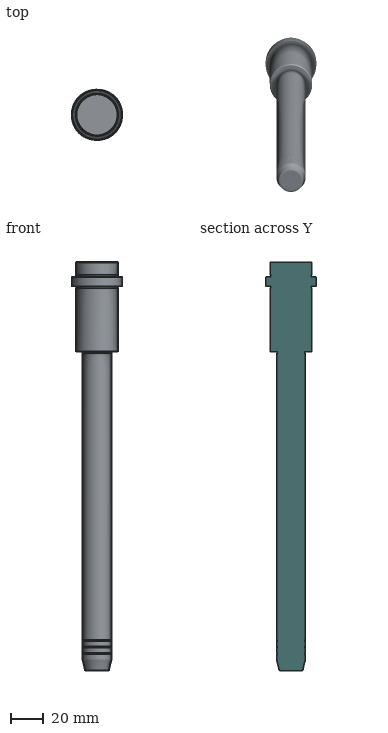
import cadquery as cq

total_length = 250.0
pin_radius = 9.0
head_radius = 13.0
flange_radius = 15.5

head_length = 55.0
flange_top_offset = 9.0
flange_thickness = 6.0
edge_chamfer = 0.5

tip_length = 7.0
tip_end_radius = 6.6
tip_edge_height = 0.3
tip_edge_width = 0.8
tip_hollow = 0.1

groove_radius = 0.5

groove_count = 3
lowest_groove_z = 10.5
groove_pitch = 4.0

head_bottom_z = total_length - head_length
flange_top_z = total_length - flange_top_offset
flange_bottom_z = flange_top_z - flange_thickness


def cylinder(radius, bottom_z, top_z):
    """Solid cylinder on the Z axis between two heights."""
    return cq.Workplane("XY").workplane(offset=bottom_z).circle(radius).extrude(top_z - bottom_z)


def make_pin():
    """Long pin whose lower end narrows along a slightly hollow arc to a chamfered end face."""
    shoulder_radius = tip_end_radius + tip_edge_width
    arc_mid_radius = (pin_radius + shoulder_radius) / 2 - tip_hollow
    arc_mid_z = (tip_length + tip_edge_height) / 2
    return (
        cq.Workplane("XZ")
        .moveTo(0, 0)
        .lineTo(tip_end_radius, 0)
        .lineTo(shoulder_radius, tip_edge_height)
        .threePointArc((arc_mid_radius, arc_mid_z), (pin_radius, tip_length))
        .lineTo(pin_radius, head_bottom_z)
        .lineTo(0, head_bottom_z)
        .close()
        .revolve(360, (0, 0), (0, 1))
    )


def make_head():
    """Plain head with chamfered ends."""
    return cylinder(head_radius, head_bottom_z, total_length).edges().chamfer(edge_chamfer)


def make_flange():
    """Locating flange with a chamfered upper rim."""
    return cylinder(flange_radius, flange_bottom_z, flange_top_z).edges(">Z").chamfer(edge_chamfer)


def make_groove_ring(surface_radius, center_z):
    """Ring of round section that cuts a half-round groove into a cylindrical surface."""
    return (
        cq.Workplane("XZ")
        .transformed(offset=(surface_radius, center_z, 0), rotate=(0, 0, 180))
        .circle(groove_radius)
        .revolve(360, (surface_radius, 0), (surface_radius, 1))
    )


pin = make_pin()
for index in range(groove_count):
    pin = pin.cut(make_groove_ring(pin_radius, lowest_groove_z + index * groove_pitch))
pin = pin.cut(make_groove_ring(pin_radius, head_bottom_z - groove_radius))

head = make_head()
for center_z in (flange_top_z + groove_radius, flange_bottom_z - groove_radius):
    head = head.cut(make_groove_ring(head_radius, center_z))

result = pin.union(head).union(make_flange())